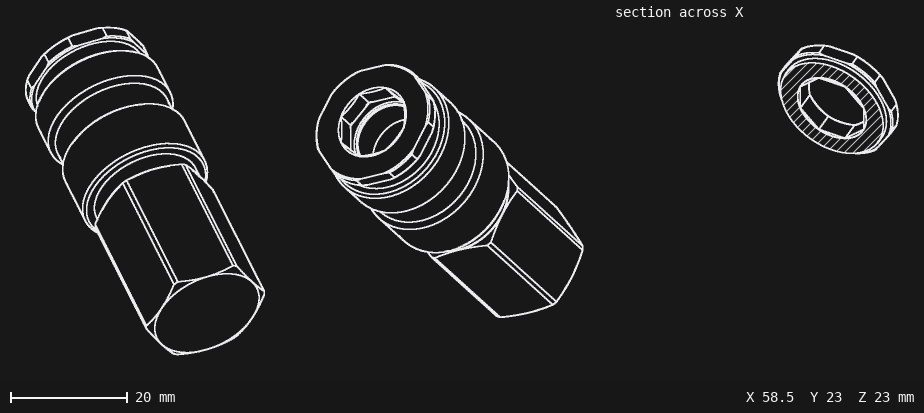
import cadquery as cq
import math

length = 58.5
flange_end = 2.5
collar_start = 5.85
front_collar_end = 12.4
groove_start = 13.3
groove_end = 18.4
rear_collar_start = 19.25
collar_end = 29.35
hex_start = 32.45

flange_diameter = 21.95
flange_across_flats = 21.0
flange_chamfer = 0.25
front_neck_diameter = 19.8
collar_diameter = 23.0
collar_chamfer = 0.5
groove_diameter = 21.0
rear_neck_diameter = 19.0
hex_across_flats = 19.2
hex_corner_diameter = 21.7
hex_chamfer_angle = 30.0

socket_corner_diameter = 13.1
socket_sides = 8
socket_depth = 3.7
socket_chamfer_depth = 0.35
chamber_diameter = 13.1
chamber_end = 5.9
seat_diameter = 12.2
seat_end = 6.1
bore_diameter = 11.9
bore_end = 11.7


def revolve_profile(points):
    """Turn (x, radius) points around the X axis, closed along the axis."""
    outline = [(points[0][0], 0)] + points + [(points[-1][0], 0)]
    return cq.Workplane("XY").polyline(outline).close().revolve(360, (0, 0, 0), (1, 0, 0))


def cylinder(start, end, diameter):
    return revolve_profile([(start, diameter / 2), (end, diameter / 2)])


def prism(start, end, sides, across_flats):
    """Regular prism along X with a flat facing +Z."""
    corner_diameter = across_flats / math.cos(math.pi / sides)
    bar = cq.Workplane("YZ").polygon(sides, corner_diameter).extrude(end - start)
    turn = 0 if sides % 4 else 180 / sides
    return bar.rotate((0, 0, 0), (1, 0, 0), turn).translate((start, 0, 0))


def chamfered_prism(start, end, across_flats, corner_diameter, end_diameter, chamfer_length):
    """Hexagonal prism with turned corners and a cone at each end."""
    turned_blank = revolve_profile([
        (start, end_diameter / 2),
        (start + chamfer_length, corner_diameter / 2),
        (end - chamfer_length, corner_diameter / 2),
        (end, end_diameter / 2),
    ])
    return prism(start, end, 6, across_flats).intersect(turned_blank)


def make_flange():
    end_diameter = flange_diameter - 2 * flange_chamfer
    return chamfered_prism(0, flange_end, flange_across_flats, flange_diameter, end_diameter, flange_chamfer)


def make_sleeve():
    collar_radius = collar_diameter / 2
    chamfer_radius = collar_radius - collar_chamfer
    return revolve_profile([
        (flange_end, front_neck_diameter / 2),
        (collar_start, front_neck_diameter / 2),
        (collar_start, chamfer_radius),
        (collar_start + collar_chamfer, collar_radius),
        (front_collar_end, collar_radius),
        (groove_start, groove_diameter / 2),
        (groove_end, groove_diameter / 2),
        (rear_collar_start, collar_radius),
        (collar_end - collar_chamfer, collar_radius),
        (collar_end, chamfer_radius),
        (collar_end, rear_neck_diameter / 2),
        (hex_start, rear_neck_diameter / 2),
    ])


def make_hex():
    corner_height = (hex_corner_diameter - hex_across_flats) / 2
    chamfer_length = corner_height * math.tan(math.radians(hex_chamfer_angle))
    return chamfered_prism(
        hex_start, length, hex_across_flats, hex_corner_diameter, hex_across_flats, chamfer_length
    )


def make_socket():
    across_flats = socket_corner_diameter * math.cos(math.pi / socket_sides)
    mouth = revolve_profile([(0, socket_corner_diameter / 2), (socket_chamfer_depth, across_flats / 2)])
    return (
        prism(0, socket_depth, socket_sides, across_flats)
        .union(mouth)
        .union(cylinder(socket_depth, chamber_end, chamber_diameter))
        .union(cylinder(chamber_end, seat_end, seat_diameter))
        .union(cylinder(seat_end, bore_end, bore_diameter))
    )


result = make_flange().union(make_sleeve()).union(make_hex()).cut(make_socket())